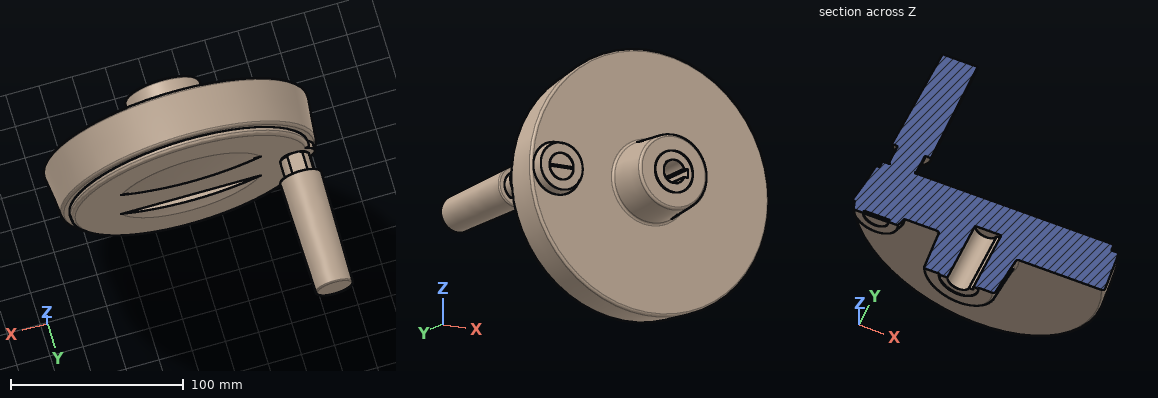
import cadquery as cq

rim_radius = 79.8
rim_back_radius = 77.1
rim_depth = 28.3
rim_round = 1.6
cover_radius = 72.1
cover_back = 32.5
cover_round = 2.2

dome_radius = 45.5
dome_height = 4.0
channel_width = 34.5

hub_root_radius = 24.6
hub_end_radius = 22.5
hub_length = 27.3
hub_end_round = 1.6
hub_root_round = 1.5
sleeve_diameter = 25.0
hub_end = -28.0
bore_diameter = 14.0
bore_depth = 39.9
key_width = 5.0
key_reach = 9.3

handle_x = -62.2
boss_root_radius = 15.8
boss_end_radius = 14.0
boss_length = 5.6
screw_diameter = 16.0
screw_recess = 0.3
screw_slot_width = 1.0
screw_slot_depth = 1.3
socket_diameter = 25.0
neck_diameter = 17.5
neck_flats = 15.0
neck_chamfer = 1.0
grip_start = 45.6
grip_end = hub_end + 144.0
grip_root_diameter = 25.0
grip_end_diameter = 22.5
grip_round = 0.8


def cone(x, start, end, start_radius, end_radius):
    """Truncated cone along Y, centred at the given X."""
    profile = [(0, start), (start_radius, start), (end_radius, end), (0, end)]
    solid = cq.Workplane("XY").polyline(profile).close().revolve(360, (0, 0, 0), (0, 1, 0))
    return solid.translate((x, 0, 0))


def cylinder(x, start, end, diameter):
    return cone(x, start, end, diameter / 2, diameter / 2)


def block(x_start, x_end, y_start, y_end, height):
    """Rectangular block centred on Z = 0."""
    size = (x_end - x_start, y_end - y_start, height)
    middle = ((x_start + x_end) / 2, (y_start + y_end) / 2, 0)
    return cq.Workplane("XY").box(*size).translate(middle)


def make_wheel():
    profile = (
        cq.Workplane("XY")
        .moveTo(0, 0)
        .lineTo(rim_radius - rim_round, 0)
        .radiusArc((rim_radius, rim_round), -rim_round)
        .lineTo(rim_back_radius, rim_depth - rim_round)
        .radiusArc((rim_back_radius - rim_round, rim_depth), -rim_round)
        .lineTo(0, rim_depth)
        .close()
    )
    rim = profile.revolve(360, (0, 0, 0), (0, 1, 0))
    cover = cylinder(0, rim_depth, cover_back, 2 * cover_radius).faces(">Y").edges().fillet(cover_round)
    return rim.union(cover)


def make_dome():
    sphere_radius = (dome_radius**2 + dome_height**2) / (2 * dome_height)
    profile = (
        cq.Workplane("XY")
        .moveTo(0, cover_back - cover_round)
        .lineTo(dome_radius, cover_back - cover_round)
        .lineTo(dome_radius, cover_back)
        .radiusArc((0, cover_back + dome_height), -sphere_radius)
        .close()
    )
    dome = profile.revolve(360, (0, 0, 0), (0, 1, 0))
    channel = block(-dome_radius, dome_radius, cover_back, cover_back + dome_height, channel_width)
    return dome.cut(channel)


def make_hub():
    hub = cone(0, -hub_length, 0, hub_end_radius, hub_root_radius)
    hub = hub.faces("<Y").edges().fillet(hub_end_round)
    return hub.union(cylinder(0, hub_end, 0, sleeve_diameter))


def make_bore():
    bore_end = hub_end + bore_depth
    bore = cylinder(0, hub_end, bore_end, bore_diameter)
    return bore.union(block(0, key_reach, hub_end, bore_end, key_width))


def make_screw_boss():
    boss = cone(handle_x, -boss_length, 0, boss_end_radius, boss_root_radius)
    screw_face = screw_recess - boss_length
    boss = boss.cut(cylinder(handle_x, -boss_length, screw_face, screw_diameter))
    slot_bottom = screw_face + screw_slot_depth
    slot = block(
        handle_x - screw_diameter / 2,
        handle_x + screw_diameter / 2,
        -boss_length,
        slot_bottom,
        screw_slot_width,
    )
    return boss.cut(slot)


def make_handle():
    socket = cylinder(handle_x, rim_depth, cover_back, socket_diameter)
    neck = cylinder(handle_x, cover_back, grip_start, neck_diameter)
    neck = neck.faces("<Y").edges().chamfer(neck_chamfer)
    flats = block(
        handle_x - neck_diameter / 2,
        handle_x + neck_diameter / 2,
        cover_back,
        grip_start,
        neck_flats,
    )
    grip = cone(handle_x, grip_start, grip_end, grip_root_diameter / 2, grip_end_diameter / 2)
    grip = grip.faces("<Y or >Y").edges().fillet(grip_round)
    return socket.union(neck.intersect(flats)).union(grip)


def round_hub_root(body):
    """Fillet the circle where the hub meets the front face of the rim."""
    root = cq.selectors.BoxSelector(
        (-hub_root_radius, -rim_round / 2, -hub_root_radius),
        (hub_root_radius, rim_round / 2, hub_root_radius),
    )
    return body.edges(root).fillet(hub_root_round)


wheel = round_hub_root(make_wheel().union(make_hub()))
wheel = wheel.union(make_dome()).union(make_screw_boss()).union(make_handle())
result = wheel.cut(make_bore())